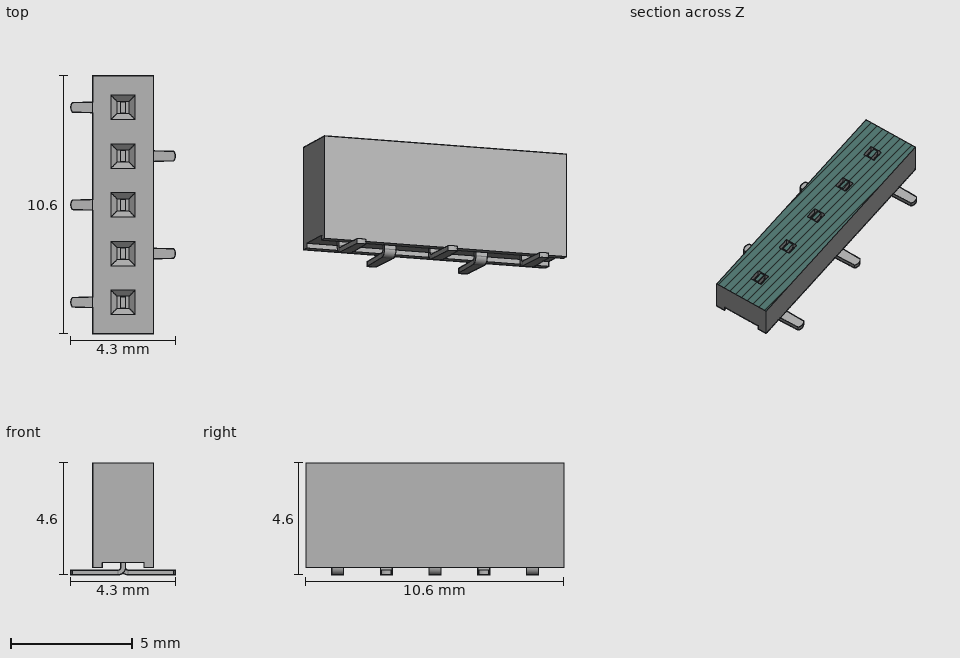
import cadquery as cq
import math

housing_width = 2.5
housing_length = 10.6
overall_height = 4.6
housing_clearance = 0.3
foot_width = 0.4
foot_height = 0.2

contact_count = 5
pitch = 2.0

socket_opening = 1.0
socket_size = 0.5
funnel_depth = 0.25
socket_floor_z = 1.5

strip_thickness = 0.2
strip_width = 0.5
inner_bend_radius = 0.1
overall_width = 4.3
lead_reach = overall_width / 2
lead_tip_width = 0.4
lead_tip_bulge = 0.07
blade_width = 0.45
blade_height = 0.5

outer_bend_radius = inner_bend_radius + strip_thickness
bend_end = strip_thickness / 2 + inner_bend_radius


def make_housing():
    """Block with a lengthwise channel underneath that leaves a foot along each side."""
    block = cq.Workplane("XY").box(
        housing_width, housing_length, overall_height - housing_clearance, centered=(True, True, False)
    ).translate((0, 0, housing_clearance))
    channel = cq.Workplane("XY").box(
        housing_width - 2 * foot_width, housing_length, foot_height, centered=(True, True, False)
    ).translate((0, 0, housing_clearance))
    return block.cut(channel)


def make_socket():
    """Square blind hole with a tapered lead-in funnel, as a cutting body."""
    funnel = (
        cq.Workplane("XY", origin=(0, 0, overall_height))
        .rect(socket_opening, socket_opening)
        .workplane(offset=-funnel_depth)
        .rect(socket_size, socket_size)
        .loft(ruled=True)
    )
    hole = (
        cq.Workplane("XY", origin=(0, 0, socket_floor_z))
        .rect(socket_size, socket_size)
        .extrude(overall_height - funnel_depth - socket_floor_z)
    )
    return funnel.union(hole)


def make_stem():
    """Strip from the socket floor down to a quarter bend toward -X, where the lead starts."""
    half = strip_thickness / 2
    bend_center_z = outer_bend_radius
    diagonal = math.cos(math.pi / 4)
    return (
        cq.Workplane("XZ")
        .moveTo(half, socket_floor_z)
        .lineTo(half, bend_center_z)
        .threePointArc(
            (-bend_end + outer_bend_radius * diagonal, bend_center_z - outer_bend_radius * diagonal),
            (-bend_end, 0),
        )
        .lineTo(-bend_end, strip_thickness)
        .threePointArc(
            (-bend_end + inner_bend_radius * diagonal, bend_center_z - inner_bend_radius * diagonal),
            (-half, bend_center_z),
        )
        .lineTo(-half, socket_floor_z)
        .close()
        .extrude(strip_width / 2, both=True)
    )


def make_lead():
    """Flat lead toward -X that narrows to a rounded tip."""
    tip_start = lead_reach - lead_tip_bulge
    return (
        cq.Workplane("XY")
        .moveTo(-bend_end, -strip_width / 2)
        .lineTo(-tip_start, -lead_tip_width / 2)
        .threePointArc((-lead_reach, 0), (-tip_start, lead_tip_width / 2))
        .lineTo(-bend_end, strip_width / 2)
        .close()
        .extrude(strip_thickness)
    )


def make_blade():
    """Upper end of the contact, standing on the socket floor."""
    return (
        cq.Workplane("XY", origin=(0, 0, socket_floor_z))
        .rect(strip_thickness, blade_width)
        .extrude(blade_height)
    )


def make_contact():
    """Complete contact with its lead toward -X."""
    return make_stem().union(make_lead()).union(make_blade())


housing = make_housing()
socket = make_socket()
contact = make_contact()

result = housing
for index in range(contact_count):
    y = (index - (contact_count - 1) / 2) * pitch
    lead_turn = 180 * (index % 2)
    result = result.cut(socket.translate((0, y, 0)))
    result = result.union(contact.rotate((0, 0, 0), (0, 0, 1), lead_turn).translate((0, y, 0)))